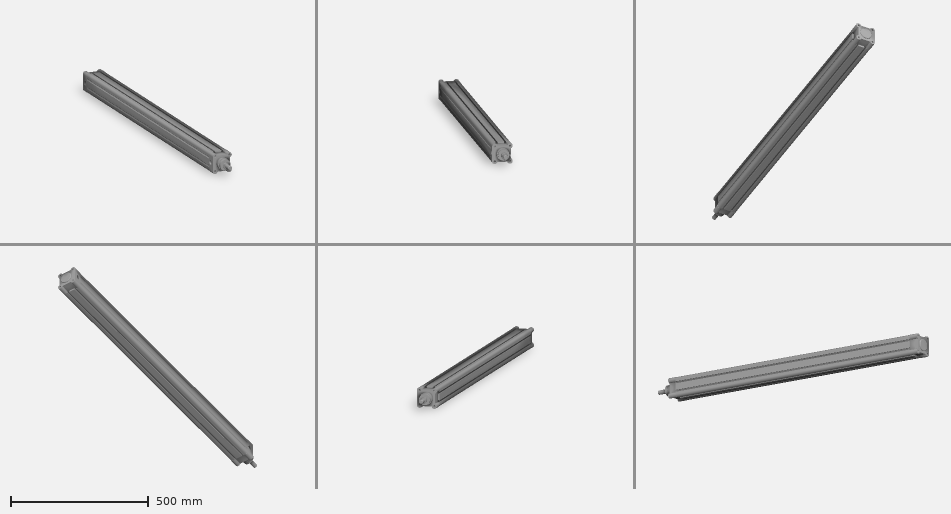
import cadquery as cq

overall_length = 1194.0
rear_collar_length = 4.0
barrel_and_caps_length = 1121.0
cap_length = 34.0
wide_collar_length = 13.0
collar_neck_length = 3.0
narrow_collar_length = 11.5
rod_shoulder_length = 9.5
flat_start_gap = 3.5
thread_relief_length = 3.0
thread_chamfer = 1.5

rear_end_x = -overall_length / 2
rear_face_x = rear_end_x + rear_collar_length
barrel_rear_x = rear_face_x + cap_length
front_face_x = rear_face_x + barrel_and_caps_length
barrel_front_x = front_face_x - cap_length
collar_step_x = front_face_x + wide_collar_length
collar_neck_x = collar_step_x + collar_neck_length
collar_end_x = collar_neck_x + narrow_collar_length
rod_shoulder_x = collar_end_x + rod_shoulder_length
rod_end_x = overall_length / 2

width = 76.0
half_width = width / 2
barrel_width = 75.0
barrel_edge_radius = 9.75
screw_offset = 28.25
lobe_radius = half_width - screw_offset

groove_width = 7.0
groove_depth = 8.0
lip_thickness = 2.5
groove_inner_width = 10.0
v_groove_depth = 4.0
groove_offset = 16.0

cap_recess = 7.5
core_half = half_width - cap_recess
screw_hole_diameter = 8.0
screw_hole_depth = 16.0
port_diameter = 16.5
port_depth = 14.0
port_z_shift = 2.0
port_setback = 20.0
rear_port_x = rear_face_x + port_setback
front_port_x = front_face_x - port_setback

collar_diameter = 45.0
rear_collar_chamfer = 1.5
collar_neck_diameter = 37.0
narrow_collar_diameter = 41.0
rod_diameter = 20.0
flat_width = 17.0
thread_diameter = 16.0
relief_diameter = 14.0


def cylinder_x(diameter, start_x, end_x):
    """A cylinder on the X axis."""
    return cq.Workplane("YZ", origin=(start_x, 0, 0)).circle(diameter / 2).extrude(end_x - start_x)


def barrel_t_slot(length, offset):
    """Cutter for a T-slot in the top side, at a distance from the middle of the side."""
    floor_z = half_width - groove_depth
    lip_z = barrel_width / 2 - lip_thickness
    floor = cq.Workplane("XY", origin=(0, offset, floor_z))
    opening = floor.rect(length, groove_width).extrude(groove_depth)
    undercut = floor.rect(length, groove_inner_width).extrude(lip_z - floor_z)
    return opening.union(undercut)


def barrel_v_groove(length, offset):
    """Cutter for a V-groove in the -Y side, at a height from the middle of the side."""
    face_y = -barrel_width / 2
    return (
        cq.Workplane("YZ", origin=(-length / 2, 0, 0))
        .moveTo(face_y, offset - groove_width / 2)
        .lineTo(face_y + v_groove_depth, offset)
        .lineTo(face_y, offset + groove_width / 2)
        .close()
        .extrude(length)
    )


def make_barrel():
    """The square profile with rounded edges and two lengthwise grooves per side."""
    length = barrel_front_x - barrel_rear_x
    middle_x = (barrel_front_x + barrel_rear_x) / 2
    barrel = cq.Workplane("XY").box(length, barrel_width, barrel_width).edges("|X").fillet(barrel_edge_radius)
    for offset in (-groove_offset, groove_offset):
        t_slot = barrel_t_slot(length, offset)
        for turn in (0, -90, 180):
            barrel = barrel.cut(t_slot.rotate((0, 0, 0), (1, 0, 0), turn))
        barrel = barrel.cut(barrel_v_groove(length, offset))
    return barrel.translate((middle_x, 0, 0))


def make_cap(start_x, outer_face_x, port_x, port_z):
    """A cap with four screw lobes, recessed on three sides and flat on the port side (-Y)."""
    section = cq.Workplane("YZ", origin=(start_x, 0, 0))
    screw_spacing = 2 * screw_offset
    lobes = section.rect(screw_spacing, screw_spacing, forConstruction=True).vertices()
    lobes = lobes.circle(lobe_radius).extrude(cap_length)
    core = section.rect(2 * core_half, 2 * core_half).extrude(cap_length)
    port_pad = (
        section.center(-half_width + cap_recess / 2, 0)
        .rect(cap_recess, screw_spacing)
        .extrude(cap_length)
    )
    cap = core.union(lobes).union(port_pad)

    inward = 1 if outer_face_x == start_x else -1
    screw_holes = (
        cq.Workplane("YZ", origin=(outer_face_x, 0, 0))
        .rect(screw_spacing, screw_spacing, forConstruction=True)
        .vertices()
        .circle(screw_hole_diameter / 2)
        .extrude(inward * screw_hole_depth)
    )
    port = (
        cq.Workplane("XZ", origin=(port_x, -half_width, port_z))
        .circle(port_diameter / 2)
        .extrude(-port_depth)
    )
    return cap.cut(screw_holes).cut(port)


def make_rear_cap():
    """The rear cap with its chamfered centring collar."""
    cap = make_cap(rear_face_x, rear_face_x, rear_port_x, -port_z_shift)
    collar = cylinder_x(collar_diameter, rear_end_x, rear_face_x).faces("<X").chamfer(rear_collar_chamfer)
    return cap.union(collar)


def make_front_cap():
    """The front cap with its stepped collar and the bore for the rod."""
    cap = make_cap(barrel_front_x, front_face_x, front_port_x, port_z_shift)
    cap = cap.union(cylinder_x(collar_diameter, front_face_x, collar_step_x))
    cap = cap.union(cylinder_x(collar_neck_diameter, collar_step_x, collar_neck_x))
    cap = cap.union(cylinder_x(narrow_collar_diameter, collar_neck_x, collar_end_x))
    return cap.cut(cylinder_x(rod_diameter, barrel_front_x, collar_end_x))


def make_rod():
    """The rod from the barrel face to its threaded end, with a relief behind the thread."""
    thread_start_x = rod_shoulder_x + thread_relief_length
    thread = cylinder_x(thread_diameter, thread_start_x, rod_end_x).faces(">X").chamfer(thread_chamfer)
    relief = cylinder_x(relief_diameter, rod_shoulder_x, thread_start_x)
    shank = cylinder_x(rod_diameter, barrel_front_x, rod_shoulder_x)
    flat_start_x = collar_end_x + flat_start_gap
    flat_length = rod_shoulder_x - flat_start_x
    removed_depth = (rod_diameter - flat_width) / 2
    for side in (-1, 1):
        flat = cq.Workplane("XY").box(flat_length, removed_depth, rod_diameter)
        flat = flat.translate((flat_start_x + flat_length / 2, side * (flat_width + removed_depth) / 2, 0))
        shank = shank.cut(flat)
    return shank.union(relief).union(thread)


barrel = make_barrel()
rear_cap = make_rear_cap()
front_cap = make_front_cap()
rod = make_rod()

result = cq.Compound.makeCompound([barrel.val(), rear_cap.val(), front_cap.val(), rod.val()])